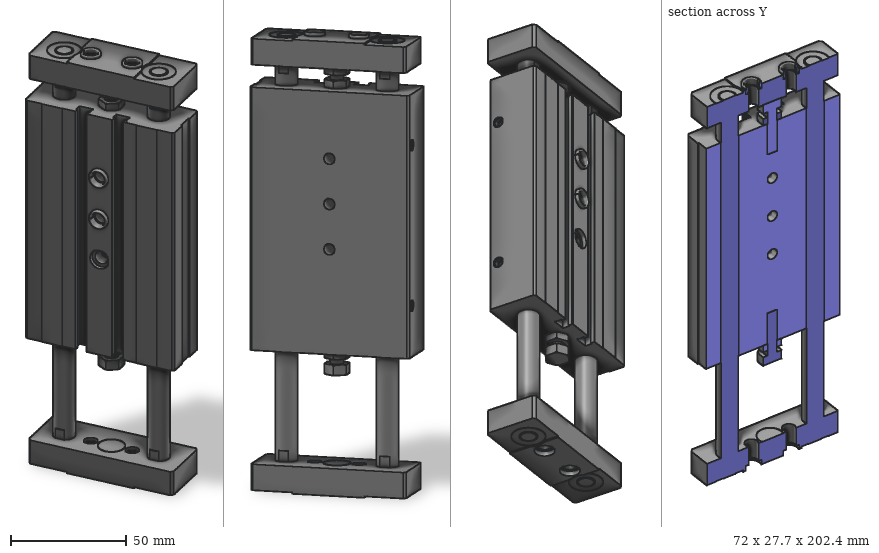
import cadquery as cq
import math


HOUSING_WIDTH = 72.0
HOUSING_DEPTH = 23.9
HOUSING_LENGTH = 116.4
HOUSING_CHAMFER = 1.0

ROD_DIAMETER = 10.0
ROD_SPACING = 45.7
FLAT_SPAN = 9.0
FLAT_LENGTH = 4.9

PLATE_WIDTH = 70.0
PLATE_FRONT_Y = -11.1
PLATE_BACK_Y = 13.86
PLATE_THICKNESS = 12.1
PLATE_STEP = 0.6
PLATE_MIDDLE_WIDTH = 32.5
PLATE_FRONT_CHAMFER = 1.2
PLATE_BACK_CHAMFER = 1.0
UPPER_GAP = 10.3
LOWER_GAP = 50.0

ROD_SEAT_DIAMETER = 15.0
ROD_SEAT_DEPTH = 0.2
STUD_DIAMETER = 8.0
STUD_TIP_DIAMETER = 6.9
STUD_HEIGHT = 0.2
BUMPER_SEAT_DIAMETER = 12.0
BUMPER_SEAT_DEPTH = 0.2

HOLE_PITCH = 20.0
SLEEVE_DIAMETER = 9.0
SLEEVE_BORE = 6.5
SLEEVE_SLIT = 0.2
SLEEVE_LENGTH = 3.8
SLEEVE_PROJECTION = 1.5
THREAD_HOLE_DIAMETER = 6.0
THROUGH_HOLE_DIAMETER = 4.9
THREAD_HOLE_DEPTH = 8.0
TOP_HOLE_OFFSET = 29.8
FRONT_HOLE_COUNT = 3
FRONT_SLEEVE_COUNT = 2

PAD_WIDTH = 10.0
FRONT_RISE = 0.2
SLOT_OFFSET = 9.0
SLOT_OPENING = 5.0
SLOT_FLARE = 0.5
SLOT_INNER_WIDTH = 6.5
SLOT_LIP = 2.2
SLOT_DEPTH = 5.5
SIDE_GROOVE_WIDTH = 7.3
SIDE_GROOVE_DEPTH = 0.6

PORT_DIAMETER = 4.9
PORT_BORE = 4.0
PORT_CHAMFER = 0.5
PORT_DEPTH = 3.0
PORT_TIP_DEPTH = 1.2
PORT_Y = 7.0
PORT_END_OFFSET = 22.7

SCREW_DIAMETER = 6.0
HEX_ACROSS_FLATS = 10.0
HEAD_HEIGHT = 4.7
NUT_HEIGHT = 3.5
HEX_CHAMFER = 0.5
SCREW_HOLE_DEPTH = 16.2

ROD_XS = (-ROD_SPACING / 2, ROD_SPACING / 2)
PLATE_HOLE_XS = (-HOLE_PITCH / 2, HOLE_PITCH / 2)
FRONT_Y = -HOUSING_DEPTH / 2
BAND_Y = FRONT_Y - FRONT_RISE
FRONT_SLEEVE_TIP_Y = -PLATE_BACK_Y
UPPER_PLATE_Z = HOUSING_LENGTH + UPPER_GAP
LOWER_PLATE_Z = -LOWER_GAP
FRONT_HOLE_ZS = [HOUSING_LENGTH - TOP_HOLE_OFFSET - i * HOLE_PITCH for i in range(FRONT_HOLE_COUNT)]
PORT_ZS = (PORT_END_OFFSET, HOUSING_LENGTH - PORT_END_OFFSET)
SLEEVE_SEAT_DEPTH = SLEEVE_LENGTH - SLEEVE_PROJECTION
FRONT_SEAT_Y = FRONT_SLEEVE_TIP_Y + SLEEVE_LENGTH


def cylinder(diameter, length, start, direction):
    return cq.Workplane(
        cq.Solid.makeCylinder(diameter / 2, length, cq.Vector(*start), cq.Vector(*direction))
    )


def cone(start_diameter, end_diameter, length, start, direction):
    return cq.Workplane(
        cq.Solid.makeCone(start_diameter / 2, end_diameter / 2, length, cq.Vector(*start), cq.Vector(*direction))
    )


def sensor_slot(centre_x):
    """T-slot along the full housing length, open to the front with a flared mouth."""
    opening = SLOT_OPENING / 2
    inner = SLOT_INNER_WIDTH / 2
    mouth = opening + SLOT_FLARE
    half = [
        (mouth, BAND_Y),
        (opening, BAND_Y + SLOT_FLARE),
        (opening, BAND_Y + SLOT_LIP),
        (inner, BAND_Y + SLOT_LIP),
        (inner, BAND_Y + SLOT_DEPTH),
    ]
    outline = half + [(-x, y) for x, y in reversed(half)]
    points = [(centre_x + x, y) for x, y in outline]
    return cq.Workplane("XY").polyline(points).close().extrude(HOUSING_LENGTH)


def front_strip(centre_x, width):
    """Strip that stands slightly proud of the housing front over its whole length."""
    return (
        cq.Workplane("XY")
        .center(centre_x, FRONT_Y)
        .rect(width, 2 * FRONT_RISE)
        .extrude(HOUSING_LENGTH)
    )


def side_port(z):
    """Blind drilled port in the -X side, with a small countersink and a conical bottom."""
    side_x = -HOUSING_WIDTH / 2
    inward = (1, 0, 0)
    countersink = cone(PORT_DIAMETER, PORT_BORE, PORT_CHAMFER, (side_x, PORT_Y, z), inward)
    bore = cylinder(PORT_BORE, PORT_DEPTH, (side_x, PORT_Y, z), inward)
    tip = cone(PORT_BORE, 0, PORT_TIP_DEPTH, (side_x + PORT_DEPTH, PORT_Y, z), inward)
    return countersink.union(bore).union(tip)


def front_hole(z):
    """Hole through the housing: sleeve seat, thread, then a narrower bore to the back."""
    inward = (0, 1, 0)
    seat = cylinder(SLEEVE_DIAMETER, FRONT_SEAT_Y - BAND_Y, (0, BAND_Y, z), inward)
    thread = cylinder(THREAD_HOLE_DIAMETER, THREAD_HOLE_DEPTH, (0, BAND_Y, z), inward)
    bore = cylinder(THROUGH_HOLE_DIAMETER, 2 * HOUSING_DEPTH, (0, BAND_Y, z), inward)
    return seat.union(thread).union(bore)


def make_housing():
    body = (
        cq.Workplane("XY")
        .rect(HOUSING_WIDTH, HOUSING_DEPTH)
        .extrude(HOUSING_LENGTH)
        .edges("|Z")
        .chamfer(HOUSING_CHAMFER)
    )
    band_width = 2 * SLOT_OFFSET
    for centre_x, width in ((0, band_width), (ROD_XS[0], PAD_WIDTH), (ROD_XS[1], PAD_WIDTH)):
        body = body.union(front_strip(centre_x, width))
    for x in (-SLOT_OFFSET, SLOT_OFFSET):
        body = body.cut(sensor_slot(x))
    side_groove = (
        cq.Workplane("XY")
        .center(HOUSING_WIDTH / 2, 0)
        .rect(2 * SIDE_GROOVE_DEPTH, SIDE_GROOVE_WIDTH)
        .extrude(HOUSING_LENGTH)
    )
    body = body.cut(side_groove)
    for x in ROD_XS:
        body = body.cut(cylinder(ROD_DIAMETER, HOUSING_LENGTH, (x, 0, 0), (0, 0, 1)))
    for z in PORT_ZS:
        body = body.cut(side_port(z))
    for z in FRONT_HOLE_ZS:
        body = body.cut(front_hole(z))
    body = body.cut(cylinder(SCREW_DIAMETER, SCREW_HOLE_DEPTH, (0, 0, 0), (0, 0, 1)))
    return body.cut(cylinder(SCREW_DIAMETER, SCREW_HOLE_DEPTH, (0, 0, HOUSING_LENGTH), (0, 0, -1)))


def yoke_plate(inner_z, outward):
    """Plate whose inner face lies at inner_z and whose outer face points along Z by outward (+1 or -1)."""
    centre_y = (PLATE_FRONT_Y + PLATE_BACK_Y) / 2
    depth = PLATE_BACK_Y - PLATE_FRONT_Y
    low_z = inner_z + outward * (PLATE_THICKNESS - PLATE_STEP)
    seat_z = low_z - outward * ROD_SEAT_DEPTH
    outer_z = inner_z + outward * PLATE_THICKNESS
    inward = (0, 0, -outward)
    plate = (
        cq.Workplane("XY", origin=(0, centre_y, inner_z))
        .rect(PLATE_WIDTH, depth)
        .extrude(outward * (PLATE_THICKNESS - PLATE_STEP))
        .edges("|Z and <Y")
        .chamfer(PLATE_FRONT_CHAMFER)
        .edges("|Z and >Y")
        .chamfer(PLATE_BACK_CHAMFER)
    )
    middle = (
        cq.Workplane("XY", origin=(0, centre_y, low_z))
        .rect(PLATE_MIDDLE_WIDTH, depth)
        .extrude(outward * PLATE_STEP)
    )
    plate = plate.union(middle)
    for x in ROD_XS:
        plate = plate.cut(cylinder(ROD_SEAT_DIAMETER, PLATE_STEP + ROD_SEAT_DEPTH, (x, 0, outer_z), inward))
        stud_end = cone(STUD_DIAMETER, STUD_TIP_DIAMETER, STUD_HEIGHT, (x, 0, seat_z), (0, 0, outward))
        plate = plate.union(stud_end)
    for x in PLATE_HOLE_XS:
        plate = plate.cut(cylinder(THREAD_HOLE_DIAMETER, PLATE_THICKNESS, (x, 0, outer_z), inward))
        plate = plate.cut(cylinder(SLEEVE_DIAMETER, SLEEVE_SEAT_DEPTH, (x, 0, outer_z), inward))
    return plate.cut(cylinder(BUMPER_SEAT_DIAMETER, BUMPER_SEAT_DEPTH, (0, 0, inner_z), (0, 0, outward)))


def guide_rod(x):
    """Rod between the plates, with two wrench flats next to each plate."""
    rod = cylinder(ROD_DIAMETER, UPPER_PLATE_Z - LOWER_PLATE_Z, (x, 0, LOWER_PLATE_Z), (0, 0, 1))
    flat_cut = (ROD_DIAMETER - FLAT_SPAN) / 2
    flat_y = (ROD_DIAMETER + FLAT_SPAN) / 4
    for z in (LOWER_PLATE_Z + FLAT_LENGTH / 2, UPPER_PLATE_Z - FLAT_LENGTH / 2):
        for y in (-flat_y, flat_y):
            rod = rod.cut(cq.Workplane("XY").box(ROD_DIAMETER, flat_cut, FLAT_LENGTH).translate((x, y, z)))
    return rod


def make_frame():
    frame = yoke_plate(UPPER_PLATE_Z, 1).union(yoke_plate(LOWER_PLATE_Z, -1))
    for x in ROD_XS:
        frame = frame.union(guide_rod(x))
    return frame


def make_sleeve():
    """Slit ring standing on Z = 0, with half-round ends and the slit on its -X side."""
    outer = SLEEVE_DIAMETER / 2
    inner = SLEEVE_BORE / 2
    middle = (outer + inner) / 2
    rounding = (outer - inner) / 2
    ring = (
        cq.Workplane("XZ")
        .moveTo(inner, rounding)
        .threePointArc((middle, 0), (outer, rounding))
        .lineTo(outer, SLEEVE_LENGTH - rounding)
        .threePointArc((middle, SLEEVE_LENGTH), (inner, SLEEVE_LENGTH - rounding))
        .close()
        .revolve(360, (0, 0, 0), (0, 1, 0))
    )
    slit = (
        cq.Workplane("XY")
        .center(-SLEEVE_DIAMETER / 2, 0)
        .rect(SLEEVE_DIAMETER, SLEEVE_SLIT)
        .extrude(SLEEVE_LENGTH)
    )
    return ring.cut(slit)


def hexagon(height):
    """Hexagonal prism on Z = 0 with two corners on the Y axis."""
    across_corners = HEX_ACROSS_FLATS / math.cos(math.pi / 6)
    turning = (
        cq.Workplane("XY")
        .circle(across_corners / 2)
        .extrude(height)
        .faces("<Z or >Z")
        .edges()
        .chamfer(HEX_CHAMFER)
    )
    prism = cq.Workplane("XY").polygon(6, across_corners).extrude(height)
    return prism.rotate((0, 0, 0), (0, 0, 1), 90).intersect(turning)


def make_stop_screw():
    """Screw for a hole that goes down from Z = 0; its head reaches the floor of a bumper recess."""
    head_z = UPPER_GAP + BUMPER_SEAT_DEPTH - HEAD_HEIGHT
    shank_length = head_z + SCREW_HOLE_DEPTH
    shank = cylinder(SCREW_DIAMETER, shank_length, (0, 0, head_z), (0, 0, -1))
    return hexagon(HEAD_HEIGHT).translate((0, 0, head_z)).union(shank)


def make_lock_nut():
    return hexagon(NUT_HEIGHT).cut(cylinder(SCREW_DIAMETER, NUT_HEIGHT, (0, 0, 0), (0, 0, 1)))


def at_upper_end(body):
    return body.translate((0, 0, HOUSING_LENGTH))


def at_lower_end(body):
    return body.rotate((0, 0, 0), (1, 0, 0), 180)


housing = make_housing()
frame = make_frame()

sleeve_base_z = UPPER_PLATE_Z + PLATE_THICKNESS - SLEEVE_SEAT_DEPTH
plate_sleeves = [make_sleeve().translate((x, 0, sleeve_base_z)) for x in PLATE_HOLE_XS]
front_sleeve = make_sleeve().rotate((0, 0, 0), (1, 0, 0), 90)
front_sleeves = [front_sleeve.translate((0, FRONT_SEAT_Y, z)) for z in FRONT_HOLE_ZS[:FRONT_SLEEVE_COUNT]]

stop_screws = [place(make_stop_screw()) for place in (at_upper_end, at_lower_end)]
lock_nuts = [place(make_lock_nut()) for place in (at_upper_end, at_lower_end)]

bodies = [housing, frame, *plate_sleeves, *front_sleeves, *stop_screws, *lock_nuts]
result = cq.Compound.makeCompound([body.val() for body in bodies])